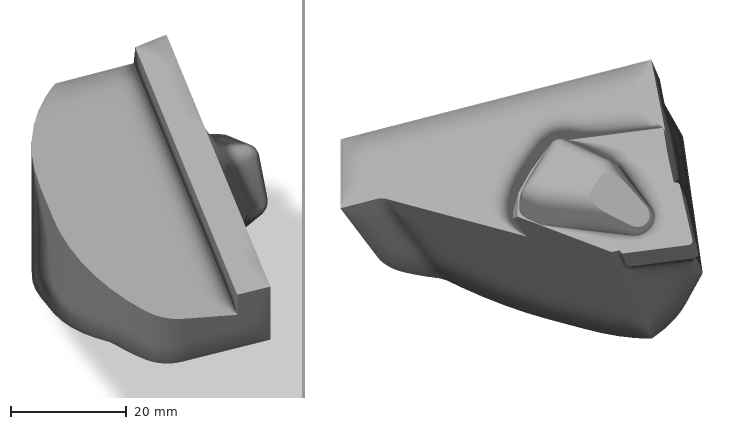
import cadquery as cq
import math


HEAD_RIGHT = 66.5
HEAD_DEPTH = 31.4
FLAT_LEFT = 34.45
FLAT_RIGHT = 41.5
NOSE_R = 31.6
LEFT_SWEEP = 50.1
RIGHT_SWEEP = 45.7
FACET_LENGTH = 19.95

STEP_TOP = 41.5
STEP_WIDTH = 6.0
ROOF_LOW = 36.0
ROOF_ANGLE = 15.0

RIGHT_BOTTOM = 26.85
RAMP_X = 22.8
RAMP_Z = 5.7
RAMP_ANGLE = 30.5
RAMP_BLEND_R = 3.3

FLANK_X = 0.9
FLANK_RISE = 0.167
FLANK_RUN = 0.17

RAKE_YAW = 11.3
RAKE_TILT = 6.3
RAKE_TOP = 18.4
LEAN_ANGLE = 12.2

LEDGE_Z = 25.15
LEDGE_FLAT_END = 22.0
LEDGE_R = 4.1
LEDGE_DROP_ANGLE = 60.0
LEDGE_RIGHT = 31.4
LEDGE_SHOULDER_Y = 5.05
LEDGE_CORNER_Y = 5.7
LEDGE_BACK = 13.3

TIP_X = -0.1
INSERT_SIDE = 12.9
INSERT_ANGLE = 80.0
INSERT_THICKNESS = 4.8
INSERT_CORNER_R = 0.8

UNDERCUT_X = 14.6
UNDERCUT = 0.6
UNDERCUT_TILT = 3.0

CLAMP_FOOT = [(3.05, 1.2), (11.6, 16.95), (22.1, 24.35), (30.7, 11.0), (25.95, 7.65)]
CLAMP_HEIGHT = 6.65
CLAMP_DRAFT = 18.0
CLAMP_CORNER_R = 3.25
CLAMP_EDGE_R = 3.25
CLAMP_ROOT = 2.0
CLAMP_NOSE_POINT = (11.3, 11.6, 15.3)
CLAMP_NOSE_NORMAL = (-0.55, 0.75, -0.36)

BIG = 133.0
MARGIN = 3.3
LEFT_END = -13.3
FLOOR_Z = -0.65


def sind(angle):
    return math.sin(math.radians(angle))


def cosd(angle):
    return math.cos(math.radians(angle))


def tand(angle):
    return math.tan(math.radians(angle))


RAKE_ALONG = cq.Vector(cosd(RAKE_YAW), sind(RAKE_YAW), 0)
RAKE_NORMAL = cq.Vector(-sind(RAKE_YAW) * cosd(RAKE_TILT), cosd(RAKE_YAW) * cosd(RAKE_TILT), -sind(RAKE_TILT))
TIP = cq.Vector(TIP_X, 0, 0)
RAKE = cq.Plane(origin=TIP.toTuple(), xDir=RAKE_ALONG.toTuple(), normal=RAKE_NORMAL.toTuple())
RAKE_UP = RAKE.yDir * -1


def half_space(point, normal):
    """Large block on the side of the plane that the normal points to."""
    return cq.Workplane(cq.Plane(origin=point, normal=normal)).rect(2 * BIG, 2 * BIG).extrude(BIG)


def ramp_z(x):
    """Height of the ramp at X."""
    return RAMP_Z + (x - RAMP_X) * tand(RAMP_ANGLE)


def nose_point(center_x, angle):
    """Point of a big front arc, at an angle from its lowest point."""
    return (center_x + NOSE_R * sind(angle), -HEAD_DEPTH + NOSE_R * (1 - cosd(angle)))


def head_outline():
    left_end = nose_point(FLAT_LEFT, -LEFT_SWEEP)
    right_end = nose_point(FLAT_RIGHT, RIGHT_SWEEP)
    side_r = (HEAD_RIGHT - right_end[0]) / (1 - sind(RIGHT_SWEEP))
    side_cx = HEAD_RIGHT - side_r
    side_cy = right_end[1] + side_r * cosd(RIGHT_SWEEP)
    mid = (RIGHT_SWEEP + 90) / 2
    facet_end = (left_end[0] - FACET_LENGTH * cosd(LEFT_SWEEP), left_end[1] + FACET_LENGTH * sind(LEFT_SWEEP))
    return (
        cq.Workplane("XY")
        .moveTo(facet_end[0], 0)
        .lineTo(*facet_end)
        .lineTo(*left_end)
        .threePointArc(nose_point(FLAT_LEFT, -LEFT_SWEEP / 2), (FLAT_LEFT, -HEAD_DEPTH))
        .lineTo(FLAT_RIGHT, -HEAD_DEPTH)
        .threePointArc(nose_point(FLAT_RIGHT, RIGHT_SWEEP / 2), right_end)
        .threePointArc((side_cx + side_r * sind(mid), side_cy - side_r * cosd(mid)), (HEAD_RIGHT, side_cy))
        .lineTo(HEAD_RIGHT, 0)
        .close()
    )


def make_main_block():
    front = -HEAD_DEPTH - MARGIN
    roof_high = ROOF_LOW + (-front - STEP_WIDTH) * tand(ROOF_ANGLE)
    side = (
        cq.Workplane("YZ")
        .polyline([(MARGIN, FLOOR_Z), (MARGIN, STEP_TOP), (-STEP_WIDTH, STEP_TOP), (-STEP_WIDTH, ROOF_LOW),
                   (front, roof_high), (front, FLOOR_Z)])
        .close()
        .extrude(BIG, both=True)
    )
    return head_outline().extrude(BIG).intersect(side)


def make_back_profile():
    """Everything in front of the rake face and the leaning face above it."""
    plane = cq.Plane(origin=TIP.toTuple(), xDir=(-sind(RAKE_YAW), cosd(RAKE_YAW), 0), normal=RAKE_ALONG.toTuple())
    rake_out = RAKE_TOP * tand(RAKE_TILT)
    lean_back = (BIG - RAKE_TOP) * tand(LEAN_ANGLE)
    return (
        cq.Workplane(plane)
        .polyline([(-BIG, -MARGIN), (-MARGIN * tand(RAKE_TILT), -MARGIN), (rake_out, RAKE_TOP),
                   (rake_out - lean_back, BIG), (-BIG, BIG)])
        .close()
        .extrude(BIG, both=True)
    )


def make_ledge():
    half = LEDGE_DROP_ANGLE / 2
    arc_mid = (LEDGE_FLAT_END + LEDGE_R * sind(half), LEDGE_Z - LEDGE_R * (1 - cosd(half)))
    arc_x = LEDGE_FLAT_END + LEDGE_R * sind(LEDGE_DROP_ANGLE)
    arc_z = LEDGE_Z - LEDGE_R * (1 - cosd(LEDGE_DROP_ANGLE))
    draft = cosd(CLAMP_DRAFT)
    shoulder_normal = (sind(LEDGE_DROP_ANGLE) * draft, sind(CLAMP_DRAFT), cosd(LEDGE_DROP_ANGLE) * draft)
    return (
        cq.Workplane("XZ")
        .moveTo(LEFT_END, FLOOR_Z)
        .lineTo(LEFT_END, LEDGE_Z)
        .lineTo(LEDGE_FLAT_END, LEDGE_Z)
        .threePointArc(arc_mid, (arc_x, arc_z))
        .lineTo(LEDGE_RIGHT, arc_z - (LEDGE_RIGHT - arc_x) * tand(LEDGE_DROP_ANGLE))
        .lineTo(LEDGE_RIGHT, FLOOR_Z)
        .close()
        .extrude(-LEDGE_BACK)
        .intersect(make_back_profile())
        .cut(half_space((arc_x, LEDGE_SHOULDER_Y, arc_z), shoulder_normal))
        .cut(half_space((LEDGE_RIGHT, LEDGE_CORNER_Y, 0), (1, 1, 0)))
    )


def make_under_profile():
    """Everything above the ramp and the flat right underside."""
    bend_x = RAMP_X + (RIGHT_BOTTOM - RAMP_Z) / tand(RAMP_ANGLE)
    return (
        cq.Workplane("XZ")
        .polyline([(LEFT_END, ramp_z(LEFT_END)), (bend_x, RIGHT_BOTTOM), (BIG, RIGHT_BOTTOM),
                   (BIG, BIG), (LEFT_END, BIG)])
        .close()
        .extrude(BIG, both=True)
        .edges("|Y")
        .edges(cq.selectors.NearestToPointSelector((bend_x, 0, RIGHT_BOTTOM)))
        .fillet(RAMP_BLEND_R)
    )


def make_flank_cut():
    return half_space((FLANK_X, 0, 0), (-1, -FLANK_RUN, FLANK_RISE))


def make_undercut():
    point = TIP + RAKE.xDir * UNDERCUT_X + RAKE_UP * UNDERCUT
    normal = RAKE_UP * -cosd(UNDERCUT_TILT) - RAKE.xDir * sind(UNDERCUT_TILT)
    return half_space(point.toTuple(), normal.toTuple())


def rake_point(x, z):
    """Point of the rake plane at X and Z, in the coordinates of that plane."""
    y = -((x - TIP.x) * RAKE_NORMAL.x + z * RAKE_NORMAL.z) / RAKE_NORMAL.y
    local = RAKE.toLocalCoords(cq.Vector(x, y, z))
    return (local.x, local.y)


def make_clamp():
    corners = [cq.Vector(*rake_point(x, z)) for x, z in CLAMP_FOOT]
    foot = cq.Wire.makePolygon(corners, close=True)
    foot = foot.fillet2D(CLAMP_CORNER_R, foot.Vertices()).moved(RAKE.location)
    boss = cq.Workplane(RAKE).newObject([foot]).toPending().extrude(CLAMP_HEIGHT, taper=CLAMP_DRAFT)
    boss = boss.faces(cq.selectors.DirectionMinMaxSelector(RAKE_NORMAL)).edges().fillet(CLAMP_EDGE_R)
    boss = boss.cut(half_space(CLAMP_NOSE_POINT, CLAMP_NOSE_NORMAL))
    root = cq.Workplane(RAKE).newObject([foot]).toPending().extrude(-CLAMP_ROOT)
    return boss.union(root)


def make_insert():
    lean_x = INSERT_SIDE * cosd(INSERT_ANGLE)
    lean_y = -INSERT_SIDE * sind(INSERT_ANGLE)
    plate = (
        cq.Workplane(RAKE)
        .polyline([(0, 0), (INSERT_SIDE, 0), (INSERT_SIDE + lean_x, lean_y), (lean_x, lean_y)])
        .close()
        .extrude(-INSERT_THICKNESS)
    )
    return plate.edges(cq.selectors.ParallelDirSelector(RAKE_NORMAL)).fillet(INSERT_CORNER_R)


def make_head(pocket):
    """Head with its clamp, and a pocket that the insert fills."""
    head = make_main_block().union(make_ledge())
    head = head.cut(make_flank_cut())
    head = head.cut(make_undercut())
    head = head.intersect(make_under_profile())
    return head.union(make_clamp()).cut(pocket)


insert = make_insert()
head = make_head(insert)
result = cq.Compound.makeCompound([head.val(), insert.val()])